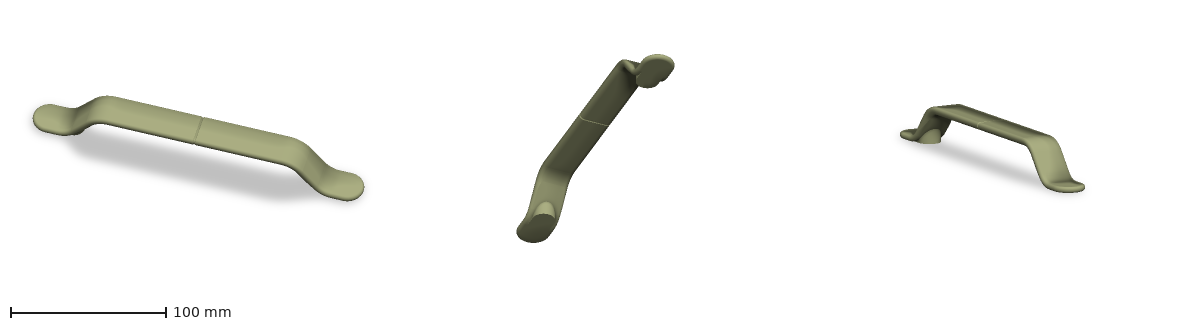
import cadquery as cq
import math

length = 221.3
width = 22.0
height = 28.0

foot_thickness = 4.0
grip_thickness = 5.3
edge_radius = 1.93
grip_lower_radius = 3.3
envelope_drop = 1.5
foot_bend_x = 18.8
grip_bend_x = 52.7
foot_bend_radius = 11.5
grip_bend_radius = 18.5

post_width = 15.0
post_inner_x = 34.7
post_outer_x = 3.3

groove_diameter = 1.8
groove_width = 1.5

end_overrun = 2.2

half_length = length / 2
foot_center_z = foot_thickness + foot_bend_radius
grip_center_z = height - grip_bend_radius


def surface_points(foot_depth, grip_depth):
    """Left-to-right outline of a layer lying at the given depths below the upper strip surface."""
    foot_radius = foot_bend_radius + foot_depth
    grip_radius = grip_bend_radius - grip_depth

    run = grip_bend_x - foot_bend_x
    rise = grip_center_z - foot_center_z
    slope = math.atan2(rise, run) + math.asin((foot_radius + grip_radius) / math.hypot(run, rise))

    def foot_point(angle):
        x = foot_bend_x - half_length + foot_radius * math.sin(angle)
        return (x, foot_center_z - foot_radius * math.cos(angle))

    def grip_point(angle):
        x = grip_bend_x - half_length - grip_radius * math.sin(angle)
        return (x, grip_center_z + grip_radius * math.cos(angle))

    foot_bend = [foot_point(0), foot_point(slope / 2), foot_point(slope)]
    grip_bend = [grip_point(slope), grip_point(slope / 2), grip_point(0)]
    left_half = foot_bend + grip_bend
    right_half = [(-x, z) for x, z in reversed(left_half)]
    return left_half + right_half


def add_bends(profile, points):
    """Extend the profile through bends given as start, middle and end points."""
    for i in range(0, len(points), 3):
        start, middle, end = points[i:i + 3]
        profile = profile.lineTo(*start).threePointArc(middle, end)
    return profile


def bent_plate(foot_depth, grip_depth):
    """Sharp-edged bent plate with round ends, as thick as the given depths."""
    end_x = half_length + end_overrun
    foot_bottom_z = foot_thickness - foot_depth
    upper = surface_points(0, 0)
    lower = surface_points(foot_depth, grip_depth)
    profile = cq.Workplane("XZ").moveTo(-end_x, foot_thickness)
    profile = add_bends(profile, upper)
    profile = profile.lineTo(end_x, foot_thickness).lineTo(end_x, foot_bottom_z)
    profile = add_bends(profile, lower[::-1])
    profile = profile.lineTo(-end_x, foot_bottom_z).close()
    plate = profile.extrude(width, both=True)

    plan = cq.Workplane("XY", origin=(0, 0, foot_bottom_z)).slot2D(length, width)
    return plate.intersect(plan.extrude(height - foot_bottom_z))


def make_strip():
    """Bent strip whose lower edge rounding grows from the feet toward the grip."""
    strip = bent_plate(foot_thickness, grip_thickness)
    strip = strip.edges("not(|Y or |Z)").fillet(edge_radius)

    envelope = bent_plate(foot_thickness + envelope_drop, grip_thickness)
    lower_edge_point = (0, -width / 2, height - grip_thickness)
    envelope = envelope.edges(cq.NearestToPointSelector(lower_edge_point)).fillet(grip_lower_radius)
    return strip.intersect(envelope)


def make_posts():
    """Obround posts that reach from the base up into the middle of the strip."""
    ceiling = surface_points(foot_thickness / 2, grip_thickness / 2)
    profile = cq.Workplane("XZ").moveTo(-half_length, 0)
    profile = profile.lineTo(-half_length, foot_thickness / 2)
    profile = add_bends(profile, ceiling)
    profile = profile.lineTo(half_length, foot_thickness / 2).lineTo(half_length, 0).close()
    space_below = profile.extrude(width, both=True)

    post_length = post_inner_x - post_outer_x
    center_x = half_length - (post_inner_x + post_outer_x) / 2
    posts = cq.Workplane("XY").pushPoints([(-center_x, 0), (center_x, 0)])
    posts = posts.slot2D(post_length, post_width).extrude(height)
    return posts.intersect(space_below)


def make_groove():
    """Round-bottomed ring that follows the rounded section at the middle of the grip."""
    middle_z = height - grip_thickness / 2
    grip_block = cq.Workplane("YZ", origin=(0, 0, middle_z)).rect(width, grip_thickness)
    grip_block = grip_block.extrude(groove_width)
    grip_block = grip_block.edges("|X and >Z").fillet(edge_radius)
    grip_block = grip_block.edges("|X and <Z").fillet(grip_lower_radius)
    section = grip_block.faces("<X").wires().val()

    groove_radius = groove_diameter / 2
    center_offset = math.sqrt(groove_radius**2 - (groove_width / 2) ** 2)
    ring = cq.Workplane("XZ", origin=(0, 0, height + center_offset)).circle(groove_radius)
    return ring.sweep(cq.Workplane(section))


result = make_strip().union(make_posts()).cut(make_groove())